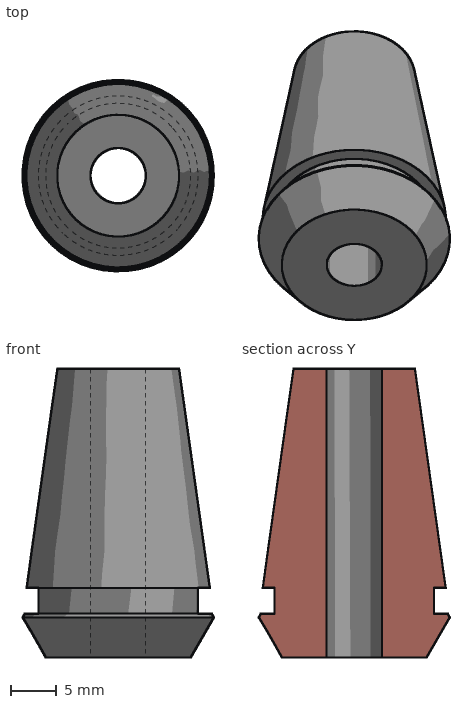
import cadquery as cq
import math

overall_height = 31.5
bore_diameter = 6.0

collar_diameter = 20.86
collar_base_diameter = 15.8
collar_cone_angle = 30.0
collar_top_z = 4.8
rim_top_diameter = 20.4

groove_diameter = 17.4
groove_width = 2.8

taper_base_diameter = 20.0
taper_angle = 8.0

collar_flare = (collar_diameter - collar_base_diameter) / 2
collar_edge_z = collar_flare / math.tan(math.radians(collar_cone_angle))
taper_base_z = collar_top_z + groove_width
taper_length = overall_height - taper_base_z
taper_top_radius = taper_base_diameter / 2 - taper_length * math.tan(math.radians(taper_angle))


def collet_body():
    """Solid outer form, revolved from its half profile (radius, height)."""
    half_profile = [
        (0, 0),
        (collar_base_diameter / 2, 0),
        (collar_diameter / 2, collar_edge_z),
        (rim_top_diameter / 2, collar_top_z),
        (groove_diameter / 2, collar_top_z),
        (groove_diameter / 2, taper_base_z),
        (taper_base_diameter / 2, taper_base_z),
        (taper_top_radius, overall_height),
        (0, overall_height),
    ]
    return cq.Workplane("XZ").polyline(half_profile).close().revolve(360, (0, 0, 0), (0, 1, 0))


def through_bore():
    """Cylinder removed along the whole axis."""
    return cq.Workplane("XY").circle(bore_diameter / 2).extrude(overall_height)


result = collet_body().cut(through_bore())